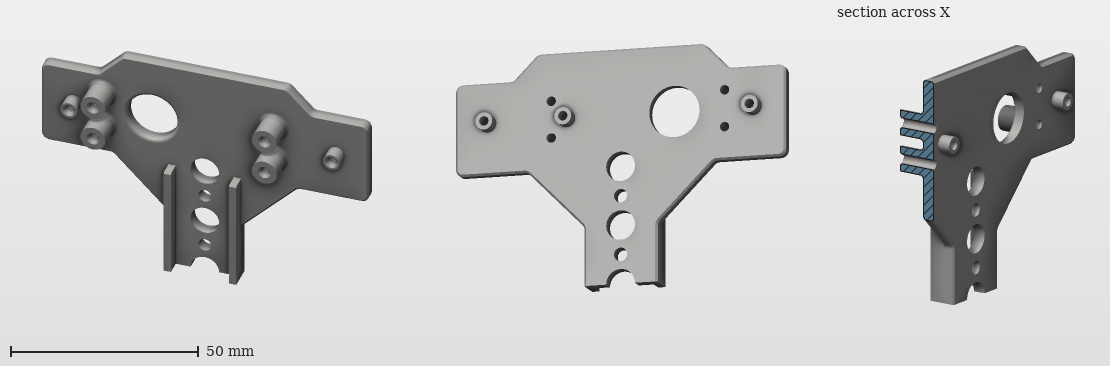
import cadquery as cq

plate_width = 92.0
plate_height = 64.0
plate_thickness = 3.5
wing_top_z = -7.0
wing_bottom_z = -32.0
top_half_width = 23.1
lower_corner_x = 26.0
stem_width = 20.4
corner_radius = 2.0
edge_break = 0.55

rail_width = 2.0
rail_height = 4.05
rail_top_z = wing_bottom_z
rail_end_chamfer = 0.5

stem_hole_pitch = 16.0
large_hole_count = 3
large_stem_hole = 8.0
small_stem_hole = 3.7

row_z = -18.0
plain_hole_x = 15.0
window_x = -plain_hole_x
window_diameter = 14.0
window_round = 1.0

tall_boss_x = (-29.0, 19.3)
tall_boss_spacing = 10.0
tall_boss_diameter = 7.0
tall_boss_height = 7.5
tall_boss_fillet = 1.0
end_boss_x = 37.0
short_boss_diameter = 4.7
front_boss_height = 4.05
back_boss_height = 3.7
bore_diameter = 2.6
bore_chamfer = 0.5

half_width = plate_width / 2
half_stem = stem_width / 2
stem_corner_z = wing_bottom_z - (lower_corner_x - half_stem)
wing_corner_x = top_half_width - wing_top_z


def cylinder(x, z, diameter, y_start, length):
    """Cylinder along +Y from y_start."""
    plane = cq.Plane(origin=(x, y_start, z), xDir=(1, 0, 0), normal=(0, 1, 0))
    return cq.Workplane(plane).circle(diameter / 2).extrude(length)


def make_plate():
    """Plate with its front face at Y = 0 and its back at Y = plate_thickness."""
    right_side = [
        (top_half_width, 0),
        (wing_corner_x, wing_top_z),
        (half_width, wing_top_z),
        (half_width, wing_bottom_z),
        (lower_corner_x, wing_bottom_z),
        (half_stem, stem_corner_z),
        (half_stem, -plate_height),
    ]
    left_side = [(-x, z) for x, z in reversed(right_side)]
    plate = cq.Workplane("XZ").polyline(right_side + left_side).close().extrude(-plate_thickness)
    above_stem_end = cq.selectors.BoxSelector(
        (-plate_width, -plate_thickness, -plate_height + edge_break),
        (plate_width, 2 * plate_thickness, edge_break),
    )
    plate = plate.edges("|Y").edges(above_stem_end).fillet(corner_radius)
    plate = plate.faces("<Y or >Y").edges(above_stem_end).chamfer(edge_break)
    return plate


def make_rail(side):
    """Rail flush with one side of the stem, its upper front edge chamfered."""
    length = plate_height + rail_top_z
    depth = rail_height + plate_thickness - edge_break
    rail = cq.Workplane("XY").box(rail_width, depth, length, centered=(True, False, False))
    rail = rail.edges("<Y and >Z").chamfer(rail_end_chamfer)
    return rail.translate((side * (half_stem - rail_width / 2), -rail_height, -plate_height))


def make_tall_boss(x, z):
    """Front boss with a fillet where it meets the plate."""
    boss = cylinder(x, z, tall_boss_diameter, -tall_boss_height, tall_boss_height)
    foot_radius = tall_boss_diameter / 2
    foot = (
        cq.Workplane("XY")
        .lineTo(foot_radius + tall_boss_fillet, 0)
        .radiusArc((foot_radius, -tall_boss_fillet), -tall_boss_fillet)
        .lineTo(0, -tall_boss_fillet)
        .close()
        .revolve(360, (0, 0, 0), (0, 1, 0))
        .translate((x, 0, z))
    )
    return boss.union(foot)


def make_bore(x, z, front_y):
    """Through-bore cutter with a chamfered mouth at front_y."""
    bore = cylinder(x, z, bore_diameter, front_y, plate_thickness + back_boss_height - front_y)
    radius = bore_diameter / 2
    mouth = cq.Solid.makeCone(
        radius + bore_chamfer, radius, bore_chamfer, cq.Vector(x, front_y, z), cq.Vector(0, 1, 0)
    )
    return bore.union(cq.Workplane(mouth))


body = make_plate()
window = cylinder(window_x, row_z, window_diameter, 0, plate_thickness)
body = body.cut(window)
window_rim = cq.selectors.RadiusNthSelector(-1)
body = body.faces("<Y").edges(window_rim).fillet(window_round)

for side in (-1, 1):
    body = body.union(make_rail(side))

for index in range(large_hole_count):
    large_z = wing_bottom_z - index * stem_hole_pitch
    body = body.cut(cylinder(0, large_z, large_stem_hole, 0, plate_thickness))
    if index < large_hole_count - 1:
        small_z = large_z - stem_hole_pitch / 2
        body = body.cut(cylinder(0, small_z, small_stem_hole, 0, plate_thickness))

for x in tall_boss_x:
    for direction in (-1, 1):
        z = row_z + direction * tall_boss_spacing / 2
        body = body.union(make_tall_boss(x, z))
        body = body.cut(make_bore(x, z, -tall_boss_height))

for x in (-end_boss_x, end_boss_x):
    boss_length = front_boss_height + plate_thickness + back_boss_height
    body = body.union(cylinder(x, row_z, short_boss_diameter, -front_boss_height, boss_length))
    body = body.cut(make_bore(x, row_z, -front_boss_height))

back_boss = cylinder(plain_hole_x, row_z, short_boss_diameter, plate_thickness, back_boss_height)
plain_hole = cylinder(plain_hole_x, row_z, bore_diameter, 0, plate_thickness + back_boss_height)
body = body.union(back_boss).cut(plain_hole)

result = body